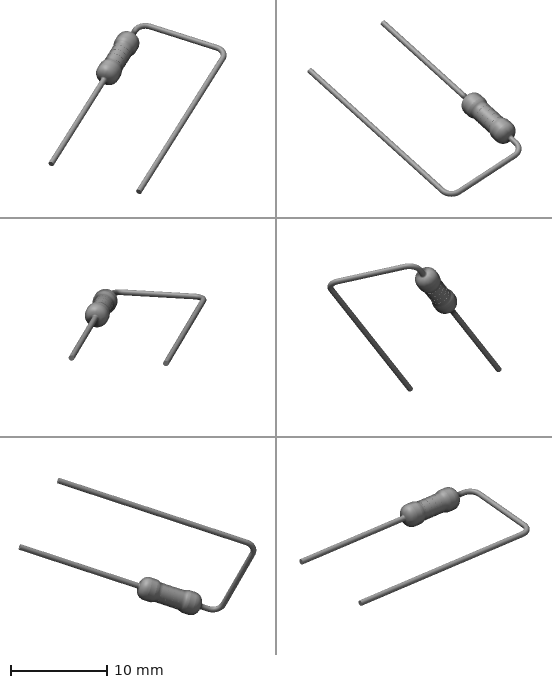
import cadquery as cq
import math

wire_diameter = 0.6
lead_pitch = 10.0
lead_end_y = -17.0
crossbar_y = 5.6
bend_radius = 1.2

cap_diameter = 2.5
waist_diameter = 2.12
band_diameter = 2.15
band_count = 4
band_width = 0.345
shoulder_length = 0.69
cap_length = 0.65
dome_radius = 0.92
neck_fillet_radius = 0.2

wire_radius = wire_diameter / 2
cap_radius = cap_diameter / 2
waist_radius = waist_diameter / 2
band_radius = band_diameter / 2

band_pitch = 2 * band_width
waist_half_length = (band_count * band_pitch - band_width) / 2
shoulder_arc_length = shoulder_length / 2
shoulder_mid_y = waist_half_length + shoulder_arc_length
cap_start_y = shoulder_mid_y + shoulder_arc_length
cap_end_y = cap_start_y + cap_length

dome_center_r = cap_radius - dome_radius
neck_center_r = wire_radius + neck_fillet_radius
center_distance = dome_radius + neck_fillet_radius
center_offset_r = neck_center_r - dome_center_r
neck_end_y = cap_end_y + math.sqrt(center_distance**2 - center_offset_r**2)
neck_angle = math.acos(center_offset_r / center_distance)

shoulder_drop = (cap_radius - waist_radius) / 2
shoulder_radius = (shoulder_arc_length**2 + shoulder_drop**2) / (2 * shoulder_drop)
shoulder_mid_r = waist_radius + shoulder_drop


def arc_point(center_r, center_y, radius, angle):
    """Point (r, y) on a circle; the angle is measured from the outward radial direction."""
    return (center_r + radius * math.cos(angle), center_y + radius * math.sin(angle))


def make_end_cap():
    """Revolve the upper end of the body: shoulder, cap, dome and neck."""
    half_shoulder_angle = math.asin(shoulder_arc_length / shoulder_radius) / 2
    concave_mid = arc_point(
        waist_radius + shoulder_radius, waist_half_length, shoulder_radius, math.pi - half_shoulder_angle
    )
    convex_mid = arc_point(
        cap_radius - shoulder_radius, cap_start_y, shoulder_radius, -half_shoulder_angle
    )
    dome_mid = arc_point(dome_center_r, cap_end_y, dome_radius, neck_angle / 2)
    dome_end = arc_point(dome_center_r, cap_end_y, dome_radius, neck_angle)
    neck_mid = arc_point(neck_center_r, neck_end_y, neck_fillet_radius, math.pi + neck_angle / 2)
    profile = (
        cq.Workplane("XY")
        .moveTo(0, waist_half_length)
        .lineTo(waist_radius, waist_half_length)
        .threePointArc(concave_mid, (shoulder_mid_r, shoulder_mid_y))
        .threePointArc(convex_mid, (cap_radius, cap_start_y))
        .lineTo(cap_radius, cap_end_y)
        .threePointArc(dome_mid, dome_end)
        .threePointArc(neck_mid, (wire_radius, neck_end_y))
        .lineTo(0, neck_end_y)
        .close()
    )
    return profile.revolve(360, (0, 0, 0), (0, 1, 0))


def make_disc(radius, start_y, length):
    """Cylinder about the body axis that runs from start_y towards +Y."""
    return cq.Workplane("XZ", origin=(0, start_y, 0)).circle(radius).extrude(-length)


def make_body():
    upper_cap = make_end_cap()
    body = make_disc(waist_radius, -waist_half_length, 2 * waist_half_length)
    for band in range(band_count):
        start_y = -waist_half_length + band * band_pitch
        body = body.union(make_disc(band_radius, start_y, band_width))
    return body.union(upper_cap).union(upper_cap.mirror("XZ"))


def make_straight_lead():
    return make_disc(wire_radius, lead_end_y, -lead_end_y)


def make_folded_lead():
    """Wire that leaves the upper end, crosses over and runs back beside the body."""
    corner_y = crossbar_y - bend_radius
    diagonal = bend_radius * math.sqrt(0.5)
    path = (
        cq.Workplane("XY")
        .moveTo(0, 0)
        .lineTo(0, corner_y)
        .threePointArc(
            (bend_radius - diagonal, corner_y + diagonal),
            (bend_radius, crossbar_y),
        )
        .lineTo(lead_pitch - bend_radius, crossbar_y)
        .threePointArc(
            (lead_pitch - bend_radius + diagonal, corner_y + diagonal),
            (lead_pitch, corner_y),
        )
        .lineTo(lead_pitch, lead_end_y)
    )
    return cq.Workplane("XZ").circle(wire_radius).sweep(path)


result = make_body().union(make_straight_lead()).union(make_folded_lead())